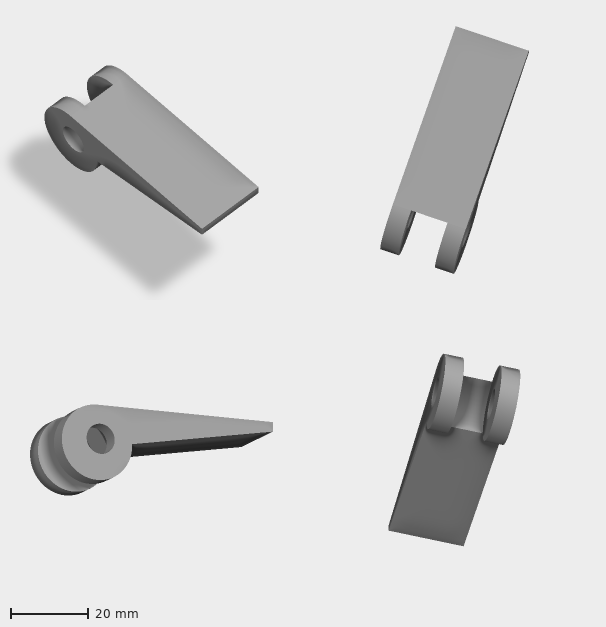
import cadquery as cq
import math

length = 60.0
width = length / 3
knuckle_radius = width / 2
hole_diameter = 8.0
hole_offset = 1.0
tip_thickness = 2.5
taper_angle = 10.0
slot_width = width / 2

tip_x = length - knuckle_radius
top_z = knuckle_radius
tip_bottom_z = top_z - tip_thickness
taper_start_z = tip_bottom_z - tip_x * math.tan(math.radians(taper_angle))


def cylinder_along_y(x, z, radius, depth):
    """Cylinder parallel to Y, centred on the plane Y = 0."""
    return cq.Workplane("XZ").center(x, z).circle(radius).extrude(depth / 2, both=True)


lever = (
    cq.Workplane("XZ")
    .moveTo(0, top_z)
    .lineTo(tip_x, top_z)
    .lineTo(tip_x, tip_bottom_z)
    .lineTo(0, taper_start_z)
    .close()
    .extrude(width / 2, both=True)
)
knuckle = cylinder_along_y(0, 0, knuckle_radius, width)

slot = cylinder_along_y(0, 0, knuckle_radius, slot_width)

pin_hole = cylinder_along_y(hole_offset, hole_offset, hole_diameter / 2, width)

result = knuckle.union(lever).cut(slot).cut(pin_hole)